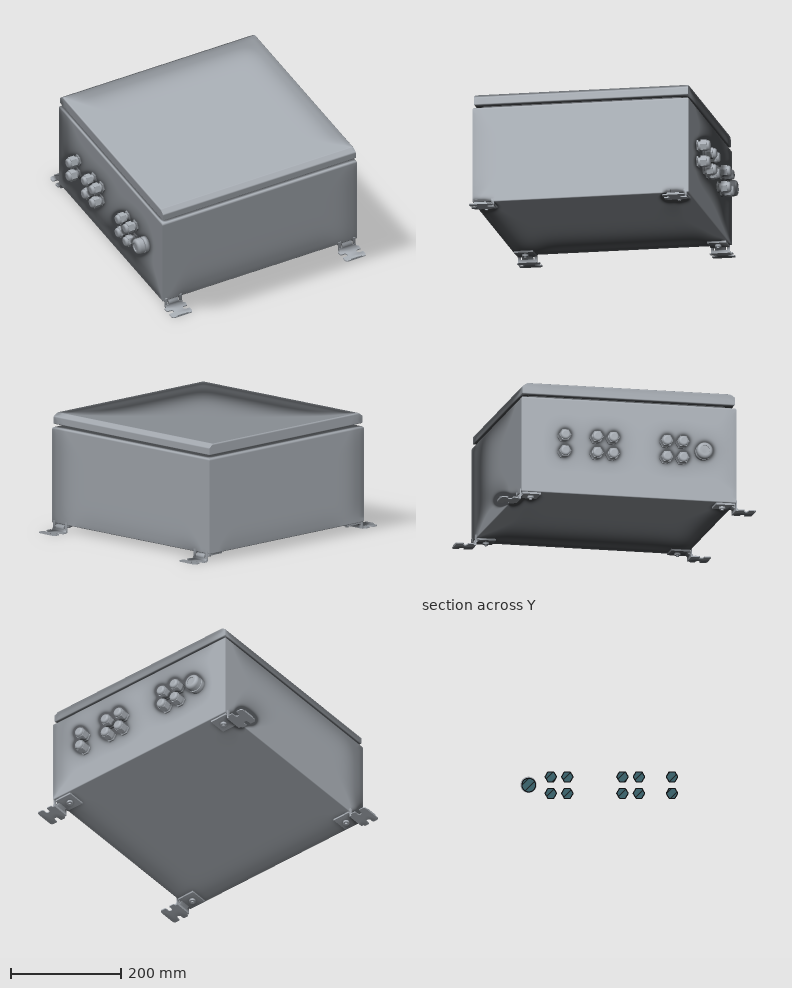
import cadquery as cq
import math

body_size = 400.0
overall_height = 217.0
body_bottom = 13.5
lid_height = 20.5
lid_gap = 5.5
lid_size = 396.5
neck_size = 366.0
body_top_edge = 3.7
body_bottom_edge = 1.8

lid_bottom = overall_height - lid_height
body_top = lid_bottom - lid_gap

lid_slope_width = 9.8
lid_slope_height = 6.6
lid_bend_radius = 3.0
lid_top_radius = 2.5
lid_bottom_radius = 1.8

wall_y = -body_size / 2
gland_mid_z = 104.0
gland_pitch = 30.0
gland_columns = (-123.0, -63.0, -33.0, 67.0, 97.0)

hex_across_corners = 22.0
gland_flange_length = 3.0
gland_neck_diameter = 15.8
nut_start = 7.8
nut_end = 19.0
gland_length = 24.7
dome_diameter = 18.19
dome_radius = 4.0

large_gland_x = 137.0
large_base_diameter = 29.7
large_groove_diameter = 25.7
large_nut_diameter = 29.5
large_base_length = 8.2
large_nut_start = 10.5
large_length = 23.2
large_face_diameter = 18.19
large_dome_radius = (large_nut_diameter - large_face_diameter) / 2
large_mouth_diameter = 15.8
large_mouth_depth = 2.0

overall_width = 475.0
bracket_center_y = 178.5
plate_width = 42.4
plate_thickness = 2.0
plate_corner_radius = 5.0
lobe_corner_radius = 2.0
plate_inner_x = 205.0
slot_x = 220.0
slot_width = 8.5
slot_depth = 11.5
emboss_radius = 12.7
emboss_reach = 6.5
emboss_height = 4.0

ear_span = 35.0
ear_width = 5.0
ear_thickness = 2.0
ear_top = 19.0
web_width = 20.0
bend_radius = 3.5
quarter_arc_inset = 1 - math.sqrt(0.5)
web_foot_x = 203.0
web_top_x = 198.0
flange_inner_x = 163.5
flange_thickness = 3.5
flange_bottom = body_bottom - flange_thickness

screw_x = 178.5
screw_head_diameter = 11.6
screw_head_height = 4.0
screw_tip_diameter = 5.0
screw_tip_height = 2.5


def make_body():
    box = cq.Workplane("XY", origin=(0, 0, body_bottom)).rect(body_size, body_size)
    box = box.extrude(body_top - body_bottom)
    box = box.faces(">Z").edges().fillet(body_top_edge)
    return box.faces("<Z").edges().fillet(body_bottom_edge)


def make_neck():
    neck = cq.Workplane("XY", origin=(0, 0, body_top)).rect(neck_size, neck_size)
    return neck.extrude(lid_gap)


def make_lid():
    """Overlap of the sloped outline along Y and the rounded outline along X."""
    half = lid_size / 2
    shoulder_x = half - lid_slope_width
    shoulder_z = overall_height - lid_slope_height
    outline = [
        (-half, lid_bottom),
        (half, lid_bottom),
        (half, shoulder_z),
        (shoulder_x, overall_height),
        (-shoulder_x, overall_height),
        (-half, shoulder_z),
    ]
    sloped = cq.Workplane("XZ").polyline(outline).close().extrude(half, both=True)
    sloped = sloped.edges("|Y").edges("not <Z").fillet(lid_bend_radius)
    rounded = cq.Workplane("XY", origin=(0, 0, lid_bottom)).rect(lid_size, lid_size)
    rounded = rounded.extrude(lid_height)
    rounded = rounded.faces(">Z").edges("|X").fillet(lid_top_radius)
    rounded = rounded.faces("<Z").edges().fillet(lid_bottom_radius)
    return sloped.intersect(rounded)


def wall_plane(x, z, distance):
    """Plane facing -Y, the given distance out from the gland wall."""
    return cq.Workplane("XZ", origin=(x, wall_y - distance, z))


def make_small_gland(x, z):
    flange = wall_plane(x, z, 0).polygon(6, hex_across_corners).extrude(gland_flange_length)
    neck = wall_plane(x, z, 0).circle(gland_neck_diameter / 2).extrude(nut_end)
    nut = wall_plane(x, z, nut_start).polygon(6, hex_across_corners).extrude(nut_end - nut_start)
    dome = wall_plane(x, z, nut_end).circle(dome_diameter / 2).extrude(gland_length - nut_end)
    dome = dome.faces("<Y").edges().fillet(dome_radius)
    return flange.union(neck).union(nut).union(dome)


def make_large_gland(x, z):
    base = wall_plane(x, z, 0).circle(large_base_diameter / 2).extrude(large_base_length)
    groove = wall_plane(x, z, 0).circle(large_groove_diameter / 2).extrude(large_nut_start)
    nut = wall_plane(x, z, large_nut_start).circle(large_nut_diameter / 2)
    nut = nut.extrude(large_length - large_nut_start)
    nut = nut.faces("<Y").edges().fillet(large_dome_radius)
    mouth = wall_plane(x, z, large_length - large_mouth_depth)
    mouth = mouth.circle(large_mouth_diameter / 2).extrude(large_mouth_depth)
    return base.union(groove).union(nut).cut(mouth)


def make_foot_plate():
    outer_x = overall_width / 2
    length = outer_x - plate_inner_x
    plate = cq.Workplane("XY", origin=(plate_inner_x + length / 2, bracket_center_y, 0))
    plate = plate.rect(length, plate_width).extrude(plate_thickness)
    for side in (-1, 1):
        edge_y = bracket_center_y + side * plate_width / 2
        slot = cq.Workplane("XY", origin=(slot_x, edge_y, 0))
        slot = slot.slot2D(2 * slot_depth, slot_width, 90).extrude(plate_thickness)
        plate = plate.cut(slot)
    mouths = plate.faces("<Y or >Y").edges("|Z").edges("not >X")
    plate = mouths.fillet(lobe_corner_radius)
    plate = plate.faces(">X").edges("|Z").fillet(plate_corner_radius)
    half_chord = math.sqrt(emboss_radius**2 - (emboss_radius - emboss_reach) ** 2)
    emboss = (
        cq.Workplane("XY")
        .moveTo(outer_x, bracket_center_y - half_chord)
        .threePointArc(
            (outer_x - emboss_reach, bracket_center_y),
            (outer_x, bracket_center_y + half_chord),
        )
        .close()
        .extrude(emboss_height)
    )
    return plate.union(emboss)


def make_bracket_riser():
    """Tongue level with the plate, bend, curved web, flange under the body and two ears."""
    wall_x = body_size / 2
    tongue_outer_x = plate_inner_x + lobe_corner_radius
    tongue = cq.Workplane("XY").box(
        tongue_outer_x - wall_x, ear_span, plate_thickness, centered=(False, True, False)
    )
    riser = tongue.translate((wall_x, bracket_center_y, 0))
    bend_top = plate_thickness + bend_radius
    bend_foot_x = web_foot_x + bend_radius
    bend_offset = bend_radius * quarter_arc_inset
    bend = (
        cq.Workplane("XZ", origin=(0, bracket_center_y, 0))
        .moveTo(wall_x, 0)
        .lineTo(bend_foot_x, 0)
        .lineTo(bend_foot_x, plate_thickness)
        .threePointArc(
            (web_foot_x + bend_offset, plate_thickness + bend_offset), (web_foot_x, bend_top)
        )
        .lineTo(wall_x, bend_top)
        .close()
        .extrude(ear_span / 2, both=True)
    )
    web_drop = body_bottom - bend_top
    web_reach = web_foot_x - web_top_x
    web = (
        cq.Workplane("XZ", origin=(0, bracket_center_y, 0))
        .moveTo(wall_x, bend_top)
        .lineTo(web_foot_x, bend_top)
        .threePointArc(
            (
                web_foot_x - quarter_arc_inset * web_reach,
                body_bottom - quarter_arc_inset * web_drop,
            ),
            (web_top_x, body_bottom),
        )
        .lineTo(web_top_x - flange_thickness, flange_bottom)
        .close()
        .extrude(web_width / 2, both=True)
    )
    riser = riser.union(bend).union(web)
    flange = cq.Workplane("XY").box(
        web_top_x - flange_inner_x, ear_span, flange_thickness, centered=(False, True, False)
    )
    riser = riser.union(flange.translate((flange_inner_x, bracket_center_y, flange_bottom)))
    for side in (-1, 1):
        ear_y = bracket_center_y + side * (ear_span - ear_width) / 2
        ear = cq.Workplane("XY").box(
            ear_thickness, ear_width, ear_top, centered=(False, True, False)
        )
        riser = riser.union(ear.translate((wall_x, ear_y, 0)))
    return riser


def make_screw():
    head_bottom = flange_bottom - screw_head_height
    head = cq.Workplane("XY", origin=(screw_x, bracket_center_y, head_bottom))
    tip = head.circle(screw_tip_diameter / 2).extrude(-screw_tip_height)
    return head.circle(screw_head_diameter / 2).extrude(screw_head_height).union(tip)


result = make_body().union(make_neck()).union(make_lid())

for column_x in gland_columns:
    for row in (-1, 1):
        result = result.union(make_small_gland(column_x, gland_mid_z + row * gland_pitch / 2))
result = result.union(make_large_gland(large_gland_x, gland_mid_z))

bracket = make_foot_plate().union(make_bracket_riser()).union(make_screw())
bracket_pair = bracket.union(bracket.mirror("YZ"))
result = result.union(bracket_pair).union(bracket_pair.mirror("XZ"))